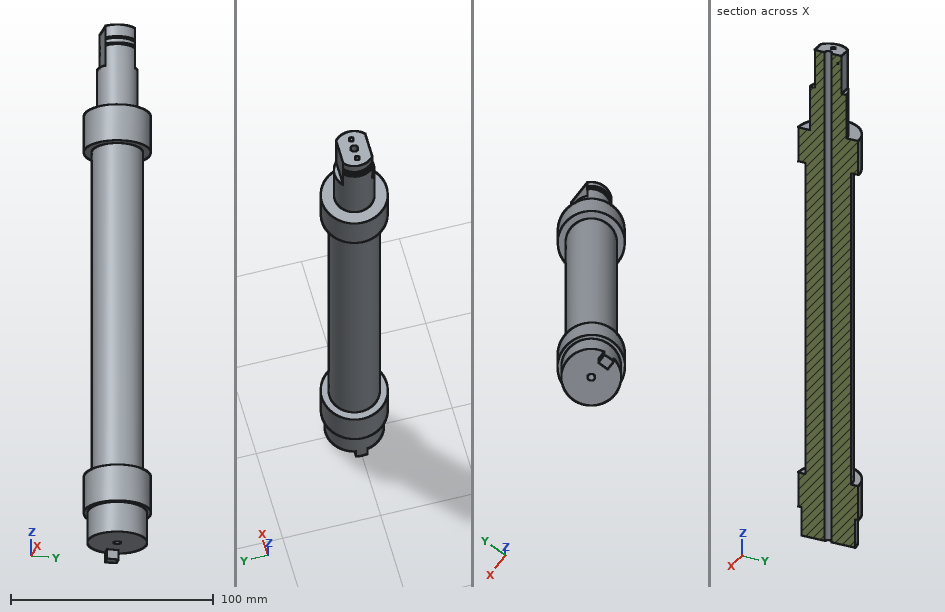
import cadquery as cq

tab_height = 5.0
spigot_height = 15.7
collar_height = 19.0
upper_collar_base = 212.0
flats_base = 255.0
total_length = 276.0

spigot_diameter = 29.5
upper_collar_diameter = 33.0
tube_diameter = 25.5
neck_diameter = 20.1
bore_diameter = 3.5

lower_collar_width = 33.7
lower_collar_depth = 33.0

width_across_flats = 15.0

groove_width = 0.8
groove_depth = 0.3
groove_drops = (6.5, 10.0)

pin_hole_diameter = 2.2
pin_hole_offset = 5.5
pin_hole_depth = 0.5

tab_length = 5.2
tab_width = 5.8

spigot_top = tab_height + spigot_height
lower_collar_top = spigot_top + collar_height
upper_collar_top = upper_collar_base + collar_height


def cylinder(diameter, bottom, top):
    """Cylinder on the Z axis between two levels."""
    return cq.Workplane("XY").workplane(offset=bottom).circle(diameter / 2).extrude(top - bottom)


def slab(x_size, y_size, bottom, top, x_center=0):
    """Rectangular block between two levels, centred on Y."""
    base = cq.Workplane("XY").workplane(offset=bottom).center(x_center, 0)
    return base.rect(x_size, y_size).extrude(top - bottom)


def make_tab():
    """Tab whose outer face continues the round side of the spigot."""
    x_center = (tab_length - spigot_diameter) / 2
    block = slab(tab_length, tab_width, 0, tab_height, x_center)
    return block.intersect(cylinder(spigot_diameter, 0, tab_height))


def make_lower_collar():
    """Collar that is very slightly oval, wider along X."""
    base = cq.Workplane("XY").workplane(offset=spigot_top)
    return base.ellipse(lower_collar_width / 2, lower_collar_depth / 2).extrude(collar_height)


def make_head():
    """Flatted end of the neck with its ring grooves."""
    head = cylinder(neck_diameter, flats_base, total_length)
    for drop in groove_drops:
        bottom = total_length - drop - groove_width / 2
        top = bottom + groove_width
        ring = cylinder(neck_diameter, bottom, top)
        head = head.cut(ring.cut(cylinder(neck_diameter - 2 * groove_depth, bottom, top)))
    return head.intersect(slab(neck_diameter, width_across_flats, flats_base, total_length))


result = cylinder(spigot_diameter, tab_height, spigot_top)
result = result.union(make_tab())
result = result.union(make_lower_collar())
result = result.union(cylinder(tube_diameter, lower_collar_top, upper_collar_base))
result = result.union(cylinder(upper_collar_diameter, upper_collar_base, upper_collar_top))
result = result.union(cylinder(neck_diameter, upper_collar_top, flats_base))
result = result.union(make_head())

result = result.cut(cylinder(bore_diameter, 0, total_length))

for side in (-1, 1):
    pin_hole = cylinder(pin_hole_diameter, total_length - pin_hole_depth, total_length)
    result = result.cut(pin_hole.translate((side * pin_hole_offset, 0, 0)))